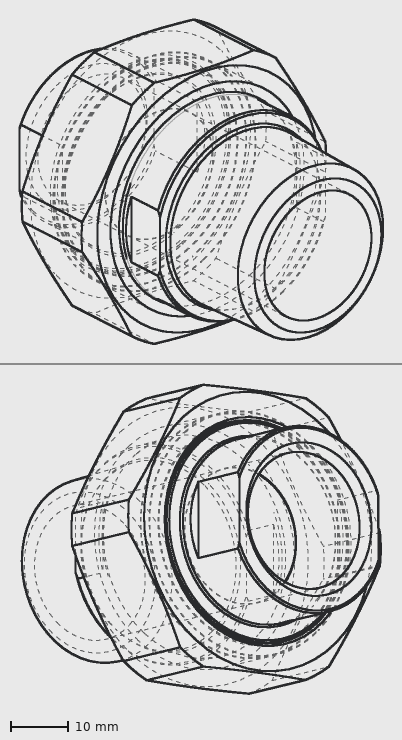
import cadquery as cq
import math

LENGTH = 64.5
MIRROR_SIDES = (-1, 1)

NUT_START = 15.0
NUT_END = 33.7
NUT_ACROSS_FLATS = 50.0
FLATS_UP_TURN = 90.0
NUT_CORNER_RADIUS = 54.7 / 2
NUT_FACE_RADIUS = 49.3 / 2
NUT_CHAMFER_LENGTH = 0.95
NUT_LIP_LENGTH = 2.6
NUT_LIP_RADIUS = 39.5 / 2
NUT_LIP_CHAMFER = 0.45
NUT_THREAD_RADIUS = 43.35 / 2

TAIL_RADIUS = 33.0 / 2
TAIL_BORE_RADIUS = 24.2 / 2
TAIL_MOUTH_RADIUS = 27.1 / 2
TAIL_MOUTH_DEPTH = 1.5
TAIL_END_CHAMFER = 0.4
TAIL_FLARE = 0.4
TAIL_FLAT_WIDTH = 30.1
TAIL_FLAT_END = 12.05
HUB_RADIUS = 39.0 / 2
HUB_CHAMFER = 0.3
FLANGE_RADIUS = 43.0 / 2
FLANGE_LENGTH = 2.6
FLANGE_START = NUT_START + NUT_LIP_LENGTH
FLANGE_END = FLANGE_START + FLANGE_LENGTH

MALE_BORE_RADIUS = 24.0 / 2
COLLAR_RADIUS = 39.0 / 2
COLLAR_ROOT_RADIUS = 39.5 / 2
COLLAR_ROOT_LENGTH = 0.7
COLLAR_END = 43.55
COLLAR_CHAMFER_LENGTH = 0.6
COLLAR_CHAMFER_HEIGHT = 0.3
COLLAR_FLAT_WIDTH = 36.95
COLLAR_FLAT_START = 35.55
NECK_RADIUS = 17.2
NECK_LENGTH = 0.8
TAPER_START_RADIUS = 16.85
TAPER_RATIO = 1 / 32
TIP_CHAMFER = 2.05

FLAT_STEP_ANGLE = 13.0


def revolve_about_x(points):
    """Turn an (x, radius) outline about the X axis."""
    return cq.Workplane("XY").polyline(points).close().revolve(360, (0, 0, 0), (1, 0, 0))


def cut_wrench_flats(body, flat_width, start, end, start_lean, end_lean):
    """Cut flats on -Y and +Y; each lean is the X shift of an end at the cutter's outer edge."""
    inner = flat_width / 2
    outer = NUT_CORNER_RADIUS
    for side in MIRROR_SIDES:
        cutter = (
            cq.Workplane("XY")
            .polyline([
                (start, side * inner),
                (end, side * inner),
                (end + end_lean, side * outer),
                (start - start_lean, side * outer),
            ])
            .close()
            .extrude(NUT_ACROSS_FLATS / 2, both=True)
        )
        body = body.cut(cutter)
    return body


def step_lean(flat_width):
    return (NUT_CORNER_RADIUS - flat_width / 2) * math.tan(math.radians(FLAT_STEP_ANGLE))


def make_tailpiece():
    body = revolve_about_x([
        (0, TAIL_MOUTH_RADIUS),
        (0, TAIL_RADIUS - TAIL_END_CHAMFER),
        (TAIL_END_CHAMFER, TAIL_RADIUS),
        (NUT_START - TAIL_FLARE, TAIL_RADIUS),
        (NUT_START, TAIL_RADIUS + TAIL_FLARE),
        (NUT_START, HUB_RADIUS - HUB_CHAMFER),
        (NUT_START + HUB_CHAMFER, HUB_RADIUS),
        (FLANGE_START, HUB_RADIUS),
        (FLANGE_START, FLANGE_RADIUS),
        (FLANGE_END, FLANGE_RADIUS),
        (FLANGE_END, TAIL_BORE_RADIUS),
        (TAIL_MOUTH_DEPTH, TAIL_BORE_RADIUS),
    ])
    return cut_wrench_flats(body, TAIL_FLAT_WIDTH, 0, TAIL_FLAT_END, 0, step_lean(TAIL_FLAT_WIDTH))


def make_nut():
    hexagon = (
        cq.Workplane("YZ", origin=(NUT_START, 0, 0))
        .polygon(6, NUT_ACROSS_FLATS, circumscribed=True)
        .extrude(NUT_END - NUT_START)
        .rotate((0, 0, 0), (1, 0, 0), FLATS_UP_TURN)
    )
    envelope = revolve_about_x([
        (NUT_START, NUT_LIP_RADIUS + NUT_LIP_CHAMFER),
        (NUT_START, NUT_FACE_RADIUS),
        (NUT_START + NUT_CHAMFER_LENGTH, NUT_CORNER_RADIUS),
        (NUT_END - NUT_CHAMFER_LENGTH, NUT_CORNER_RADIUS),
        (NUT_END, NUT_FACE_RADIUS),
        (NUT_END, NUT_THREAD_RADIUS),
        (FLANGE_START, NUT_THREAD_RADIUS),
        (FLANGE_START, NUT_LIP_RADIUS),
        (NUT_START + NUT_LIP_CHAMFER, NUT_LIP_RADIUS),
    ])
    return hexagon.intersect(envelope)


def make_male_end():
    taper_start = COLLAR_END + NECK_LENGTH
    taper_end = LENGTH - TIP_CHAMFER
    taper_end_radius = TAPER_START_RADIUS - (taper_end - taper_start) * TAPER_RATIO
    body = revolve_about_x([
        (FLANGE_END, MALE_BORE_RADIUS),
        (FLANGE_END, NUT_THREAD_RADIUS),
        (NUT_END, NUT_THREAD_RADIUS),
        (NUT_END, COLLAR_ROOT_RADIUS),
        (NUT_END + COLLAR_ROOT_LENGTH, COLLAR_RADIUS),
        (COLLAR_END - COLLAR_CHAMFER_LENGTH, COLLAR_RADIUS),
        (COLLAR_END, COLLAR_RADIUS - COLLAR_CHAMFER_HEIGHT),
        (COLLAR_END, NECK_RADIUS),
        (taper_start, TAPER_START_RADIUS),
        (taper_end, taper_end_radius),
        (LENGTH, taper_end_radius - TIP_CHAMFER),
        (LENGTH, MALE_BORE_RADIUS),
    ])
    return cut_wrench_flats(
        body, COLLAR_FLAT_WIDTH, COLLAR_FLAT_START, COLLAR_END, step_lean(COLLAR_FLAT_WIDTH), 0
    )


tailpiece = make_tailpiece()
nut = make_nut()
male_end = make_male_end()

result = cq.Compound.makeCompound([tailpiece.val(), nut.val(), male_end.val()])